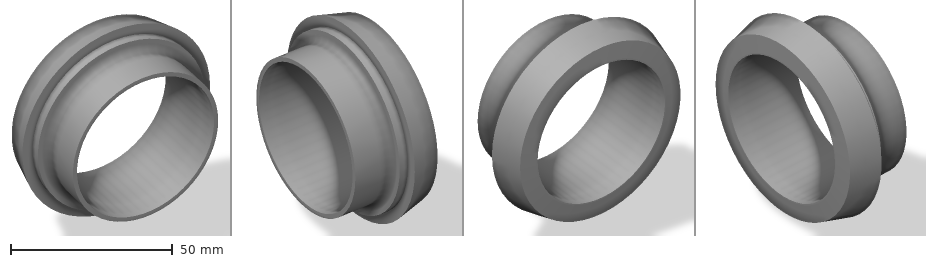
import cadquery as cq

bore_diameter = 50.0
tube_diameter = 53.0
shoulder_diameter = 61.0
rim_diameter = 68.5
face_diameter = 63.0

length = 28.0
face_cone_depth = 0.5
rim_back = 11.0
shoulder_back = 14.1

fillet_radius = 2.4
face_land_width = 0.5


def ring_profile():
    """Half section in the XY plane, with Y as the radius."""
    bore = bore_diameter / 2
    tube = tube_diameter / 2
    shoulder = shoulder_diameter / 2
    return (
        cq.Workplane("XY")
        .moveTo(0, bore)
        .lineTo(0, bore + face_land_width)
        .lineTo(face_cone_depth, face_diameter / 2)
        .lineTo(rim_back, rim_diameter / 2)
        .lineTo(rim_back, shoulder)
        .lineTo(shoulder_back, shoulder)
        .lineTo(shoulder_back, tube + fillet_radius)
        .radiusArc((shoulder_back + fillet_radius, tube), -fillet_radius)
        .lineTo(length, tube)
        .lineTo(length, bore)
        .close()
    )


result = ring_profile().revolve(360, (0, 0, 0), (1, 0, 0))